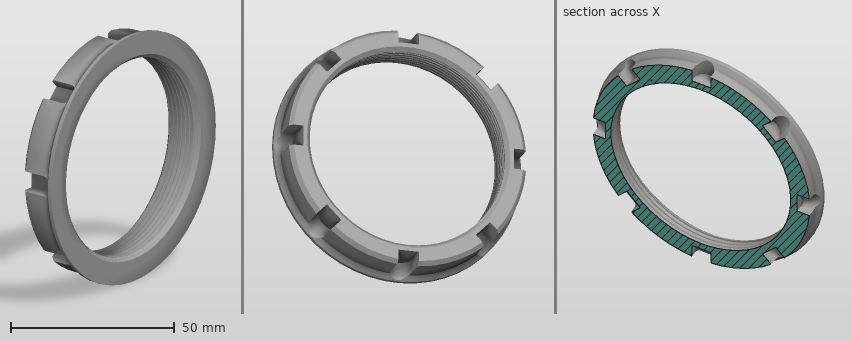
import cadquery as cq
import math

ring_width = 12.7
flange_radius = 79.38 / 2
body_radius = 38.1

nose_chamfer = 1.27
rim_width = 1.27
flange_bevel = flange_radius - body_radius

bore_radius = 31.24
bore_chamfer = 1.27
thread_pitch = 1.5875
groove_width = 0.55
groove_half_angle = 30.0
groove_depth = groove_width / 2 / math.tan(math.radians(groove_half_angle))
groove_overlap = groove_depth / 2
thread_start = -0.4
thread_turns = math.ceil((ring_width - thread_start + groove_width) / thread_pitch)

slot_count = 8
slot_width = 6.5
slot_length = 11.1
slot_corner_radius = 3.1
slot_floor_radius = 33.7
slot_clearance = 1.0


def ring_blank():
    """Revolve the outer profile and the chamfered bore about the X axis."""
    rim_start = ring_width - rim_width
    profile = (
        cq.Workplane("XY")
        .moveTo(0, bore_radius + bore_chamfer)
        .lineTo(0, body_radius - nose_chamfer)
        .lineTo(nose_chamfer, body_radius)
        .lineTo(rim_start - flange_bevel, body_radius)
        .lineTo(rim_start, flange_radius)
        .lineTo(ring_width, flange_radius)
        .lineTo(ring_width, bore_radius + bore_chamfer)
        .lineTo(ring_width - bore_chamfer, bore_radius)
        .lineTo(bore_chamfer, bore_radius)
        .close()
    )
    return profile.revolve(360, (0, 0, 0), (1, 0, 0))


def thread_turn():
    """One turn of the right-hand helical V groove, starting at the bottom (-Z) at X = 0."""
    mouth_radius = bore_radius - groove_overlap
    mouth_half_width = groove_width / 2 * (groove_depth + groove_overlap) / groove_depth
    helix = cq.Wire.makeHelix(thread_pitch, thread_pitch, bore_radius)
    groove = (
        cq.Workplane("XZ")
        .moveTo(mouth_radius, -mouth_half_width)
        .lineTo(bore_radius + groove_depth, 0)
        .lineTo(mouth_radius, mouth_half_width)
        .close()
        .sweep(cq.Workplane(helix), isFrenet=True)
    )
    return groove.rotate((0, 0, 0), (0, 1, 0), 90)


def cut_thread(body):
    """Cut the thread turn by turn, running out past both ends of the bore."""
    turn = thread_turn()
    for index in range(thread_turns):
        body = body.cut(turn.translate((thread_start + index * thread_pitch, 0, 0)))
    return body


def spanner_slot():
    """Cutter for the slot at the top of the ring, with its closed end rounded."""
    slot_height = flange_radius - slot_floor_radius + slot_clearance
    return (
        cq.Workplane("XY")
        .workplane(offset=slot_floor_radius)
        .rect(2 * slot_length, slot_width)
        .extrude(slot_height)
        .edges("|Z and >X")
        .fillet(slot_corner_radius)
    )


def cut_slots(body):
    """Cut the slots at equal angles around the ring axis."""
    slot = spanner_slot()
    for index in range(slot_count):
        angle = index * 360 / slot_count
        body = body.cut(slot.rotate((0, 0, 0), (1, 0, 0), angle))
    return body


result = cut_slots(cut_thread(ring_blank()))